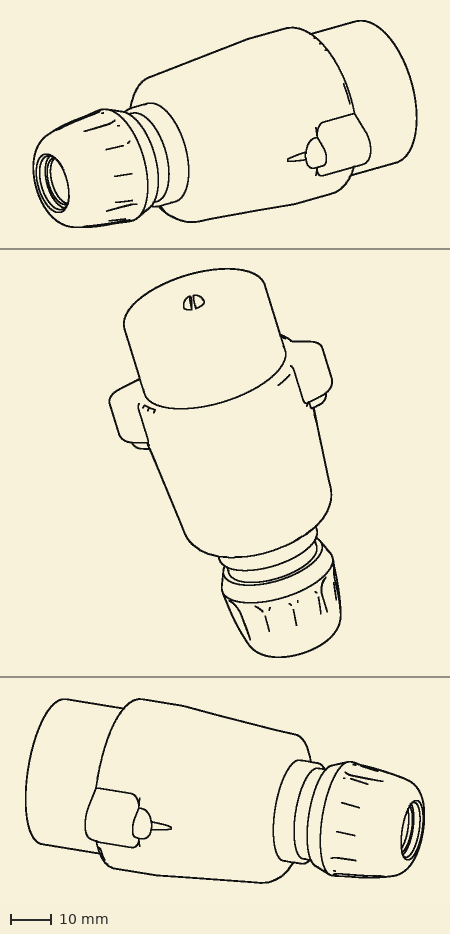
import cadquery as cq
import math

LENGTH = 96.7

NUT_WAIST_R = 13.8
NUT_MAX_R = 14.1
NUT_BACK_R = 12.6
NUT_FRONT_R = 11.9
NUT_NOSE_Y = 3.4
NUT_WAIST_Y = 14.5
NUT_MAX_Y = 18.6
NUT_BACK_Y = 22.6

ENTRY_R = 6.8
ENTRY_CHAMFER = 0.6
ENTRY_DEPTH = 2.2
SEAL_HOLE_R = 5.9
SEAL_HOLE_DEPTH = 3.2

GRIP_COUNT = 12
GRIP_R = 4.0
GRIP_EDGE_ROUND = 0.2
GRIP_FLOOR_R = 12.3

NECK_R = 11.2
COLLAR_R = 12.5
COLLAR_Y = 26.6
COLLAR_ROUND = 0.3

HOUSING_FRONT_Y = 31.5
HOUSING_FRONT_R = 18.3
RING_Y = 63.6
RING_R = 21.0
RING_BACK_Y = 75.5
RING_ROUND = 1.2
FRONT_ROUND = 5.3
FRONT_ROUND_TOP = 0.3
FRONT_ROUND_FADE = 1.2
CUT_MARGIN = 1.45

LUG_SPAN = 54.0
LUG_TIP_R = 5.2
LUG_FLANK_ANGLE = 30
LUG_FRONT_ROUND = 2.3
BUMP_TIP_R = LUG_TIP_R - LUG_FRONT_ROUND
BUMP_HEIGHT = 3.3
BUMP_ROUND = 2.8
SCREW_CLEARANCE_R = 1.5
LUG_TIP_X = LUG_SPAN / 2 - LUG_TIP_R

BARREL_R = 18.0
BARREL_END_Y = 94.5
BARREL_ROUND = 0.8
PIN_R = 2.6
PIN_SLOT_WIDTH = 1.0


def cylinder(radius, y_start, y_end):
    """Solid cylinder on the Y axis."""
    return cq.Workplane("XZ", origin=(0, y_start, 0)).circle(radius).extrude(y_start - y_end)


def revolve_about_y(profile):
    """Close a half outline drawn in the XY plane and turn it about the Y axis."""
    return profile.close().revolve(360, (0, 0), (0, 1))


def make_nut():
    """Gland nut with a stepped cable entry and finger grips."""
    entry_rim_r = ENTRY_R + ENTRY_CHAMFER

    nose_width = NUT_FRONT_R - entry_rim_r
    nose_r = (nose_width**2 + NUT_NOSE_Y**2) / (2 * NUT_NOSE_Y)
    half_sweep = math.asin(nose_width / nose_r) / 2
    nose_mid = (entry_rim_r + nose_r * math.sin(half_sweep), nose_r * (1 - math.cos(half_sweep)))
    nut = revolve_about_y(
        cq.Workplane("XY")
        .moveTo(0, NUT_BACK_Y)
        .lineTo(NUT_BACK_R, NUT_BACK_Y)
        .lineTo(NUT_MAX_R, NUT_MAX_Y)
        .lineTo(NUT_WAIST_R, NUT_WAIST_Y)
        .tangentArcPoint((NUT_FRONT_R, NUT_NOSE_Y), relative=False)
        .threePointArc(nose_mid, (entry_rim_r, 0))
        .lineTo(0, 0)
    )
    nut = nut.rotate((0, 0, 0), (0, 1, 0), 180 / GRIP_COUNT)
    entry = revolve_about_y(
        cq.Workplane("XY")
        .lineTo(entry_rim_r, 0)
        .lineTo(ENTRY_R, ENTRY_CHAMFER)
        .lineTo(ENTRY_R, ENTRY_DEPTH)
        .lineTo(SEAL_HOLE_R, ENTRY_DEPTH)
        .lineTo(SEAL_HOLE_R, SEAL_HOLE_DEPTH)
        .lineTo(0, SEAL_HOLE_DEPTH)
    )
    nut = nut.cut(entry)

    grip_axis_z = GRIP_FLOOR_R + GRIP_R
    ball = cq.Workplane("XY").sphere(GRIP_R).translate((0, NUT_WAIST_Y, 0))
    grip = cylinder(GRIP_R, 0, NUT_WAIST_Y).union(ball).translate((0, 0, grip_axis_z))
    for i in range(GRIP_COUNT):
        nut = nut.cut(grip.rotate((0, 0, 0), (0, 1, 0), i * 360 / GRIP_COUNT))
    return nut.edges("%BSPLINE").fillet(GRIP_EDGE_ROUND)


def front_round_section(angle):
    """Corner of the housing front removed by its rounding, in the half-plane at an angle from +Z."""
    growth = math.sin(math.radians(min(angle, 90))) ** FRONT_ROUND_FADE
    setback = FRONT_ROUND_TOP + (FRONT_ROUND - FRONT_ROUND_TOP) * growth
    taper = math.atan2(RING_R - HOUSING_FRONT_R, RING_Y - HOUSING_FRONT_Y)
    half_corner = (math.pi / 2 + taper) / 2
    depth = setback * (1 - math.sin(half_corner)) / math.cos(half_corner)
    arc_mid = (-depth * math.cos(half_corner), depth * math.sin(half_corner))
    wall_end = (setback * math.sin(taper), setback * math.cos(taper))

    turn = math.radians(angle)
    plane = cq.Plane(
        origin=(HOUSING_FRONT_R * math.sin(turn), HOUSING_FRONT_Y, HOUSING_FRONT_R * math.cos(turn)),
        xDir=(math.sin(turn), 0, math.cos(turn)),
        normal=(-math.cos(turn), 0, math.sin(turn)),
    )
    return (
        cq.Workplane(plane)
        .moveTo(-setback, 0)
        .threePointArc(arc_mid, wall_end)
        .lineTo(CUT_MARGIN, wall_end[1])
        .lineTo(CUT_MARGIN, -CUT_MARGIN)
        .lineTo(-setback, -CUT_MARGIN)
        .close()
        .val()
    )


def make_housing():
    """Tapered housing with its front rounded everywhere but at the top."""
    housing = revolve_about_y(
        cq.Workplane("XY")
        .moveTo(0, HOUSING_FRONT_Y)
        .lineTo(HOUSING_FRONT_R, HOUSING_FRONT_Y)
        .lineTo(RING_R, RING_Y)
        .lineTo(0, RING_Y)
    )

    rim = (
        cq.Workplane("XZ", origin=(0, HOUSING_FRONT_Y, 0))
        .moveTo(0, HOUSING_FRONT_R)
        .threePointArc((HOUSING_FRONT_R, 0), (0, -HOUSING_FRONT_R))
        .wire()
        .val()
    )
    sections = [front_round_section(angle) for angle in range(0, 181, 15)]
    corner = cq.Workplane(cq.Solid.sweep_multi(sections, rim))

    groove = cylinder(SCREW_CLEARANCE_R, HOUSING_FRONT_Y, RING_Y - BUMP_HEIGHT).translate((LUG_TIP_X, 0, 0))
    side_cut = corner.union(groove)
    return housing.cut(side_cut).cut(side_cut.mirror("YZ"))


def lug_profile(tip_radius, y_start):
    """Lug outline on the +X side: a round tip with straight flanks running into the ring."""
    angle = math.radians(LUG_FLANK_ANGLE)
    touch_x = LUG_TIP_X + tip_radius * math.sin(angle)
    touch_z = tip_radius * math.cos(angle)
    root_x = RING_R / 2
    root_z = touch_z + (touch_x - root_x) * math.tan(angle)
    return (
        cq.Workplane("XZ", origin=(0, y_start, 0))
        .moveTo(root_x, -root_z)
        .lineTo(touch_x, -touch_z)
        .threePointArc((LUG_TIP_X + tip_radius, 0), (touch_x, touch_z))
        .lineTo(root_x, root_z)
        .close()
    )


def make_lug():
    """Lug on the +X side with a smaller bump on its front."""
    lug = lug_profile(LUG_TIP_R, RING_Y).extrude(RING_Y - RING_BACK_Y)
    lug = lug.faces("<Y").edges("not <X").fillet(LUG_FRONT_ROUND)
    bump = lug_profile(BUMP_TIP_R, RING_Y + LUG_FRONT_ROUND).extrude(BUMP_HEIGHT + LUG_FRONT_ROUND)
    bump = bump.faces("<Y").edges("not <X").fillet(BUMP_ROUND)
    return lug.union(bump)


def make_pin():
    """Domed pin on the plug face with a slot along Z."""
    height = LENGTH - BARREL_END_Y
    dome = revolve_about_y(
        cq.Workplane("XY")
        .moveTo(0, BARREL_END_Y)
        .lineTo(PIN_R, BARREL_END_Y)
        .threePointArc((PIN_R * math.sqrt(0.5), BARREL_END_Y + height * math.sqrt(0.5)), (0, LENGTH))
    )
    slot = cq.Workplane("XY").box(PIN_SLOT_WIDTH, 2 * height, 2 * PIN_R)
    return dome.cut(slot.translate((0, BARREL_END_Y + height, 0)))


collar = cylinder(COLLAR_R, COLLAR_Y, HOUSING_FRONT_Y).faces("<Y").edges().fillet(COLLAR_ROUND)
lug = make_lug()
base = cylinder(RING_R, RING_Y, RING_BACK_Y).union(lug).union(lug.mirror("YZ"))
base = base.faces(">Y").edges().fillet(RING_ROUND)
barrel = cylinder(BARREL_R, RING_BACK_Y, BARREL_END_Y).faces(">Y").edges().fillet(BARREL_ROUND)

result = (
    make_nut()
    .union(cylinder(NECK_R, NUT_BACK_Y, COLLAR_Y))
    .union(collar)
    .union(make_housing())
    .union(base)
    .union(barrel)
    .union(make_pin())
)